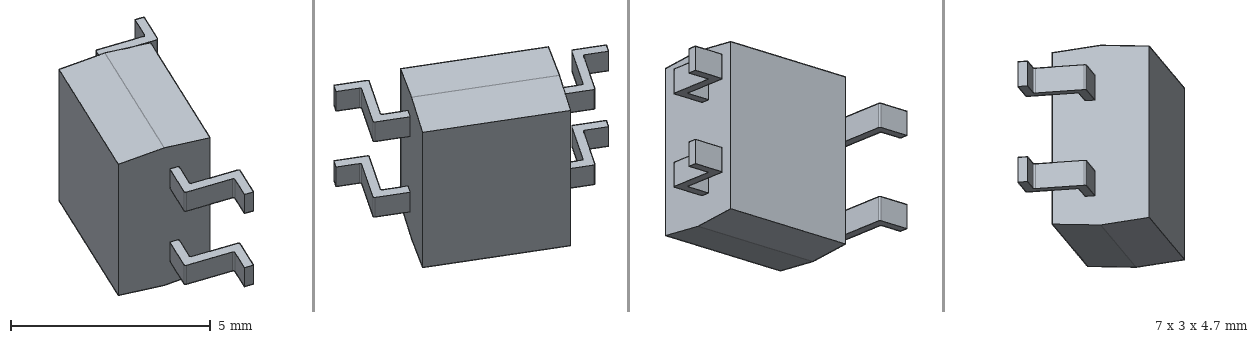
import cadquery as cq
import math

BODY_WIDTH = 3.8
BODY_DEPTH = 2.5
BODY_HEIGHT = 4.7
DRAFT_ANGLE = 5.0

LEAD_SPAN = 7.0
LEAD_WIDTH = 0.65
LEAD_PITCH = 2.5
LEAD_THICKNESS = 0.25
FOOT_LENGTH = 0.9
FOOT_STANDOFF = 0.5
LEAD_DEPTH = 1.6
BEND_RADIUS = 0.045

BODY_BACK = BODY_DEPTH / 2
SEATING_PLANE = BODY_BACK + FOOT_STANDOFF


def make_body():
    """Hexagonal profile in the YZ plane, extruded across X."""
    peak = BODY_HEIGHT / 2
    shoulder = peak - BODY_BACK * math.tan(math.radians(DRAFT_ANGLE))
    profile = [
        (-BODY_BACK, -shoulder),
        (0, -peak),
        (BODY_BACK, -shoulder),
        (BODY_BACK, shoulder),
        (0, peak),
        (-BODY_BACK, shoulder),
    ]
    return cq.Workplane("YZ").polyline(profile).close().extrude(BODY_WIDTH / 2, both=True)


def make_lead(z_center):
    """Z-bent strip on the +X side, starting at the body's side face."""
    root = BODY_WIDTH / 2
    tip = LEAD_SPAN / 2
    upright_inner = tip - FOOT_LENGTH
    upright_outer = upright_inner + LEAD_THICKNESS
    arm_front = SEATING_PLANE - LEAD_DEPTH
    arm_back = arm_front + LEAD_THICKNESS
    foot_front = SEATING_PLANE - LEAD_THICKNESS
    profile = [
        (root, arm_front),
        (upright_outer, arm_front),
        (upright_outer, foot_front),
        (tip, foot_front),
        (tip, SEATING_PLANE),
        (upright_inner, SEATING_PLANE),
        (upright_inner, arm_back),
        (root, arm_back),
    ]
    strip = (
        cq.Workplane("XY")
        .workplane(offset=z_center - LEAD_WIDTH / 2)
        .polyline(profile)
        .close()
        .extrude(LEAD_WIDTH)
    )
    bends = cq.selectors.BoxSelector(
        (upright_inner - BEND_RADIUS, arm_front - BEND_RADIUS, z_center - LEAD_WIDTH),
        (upright_outer + BEND_RADIUS, SEATING_PLANE + BEND_RADIUS, z_center + LEAD_WIDTH),
    )
    return strip.edges("|Z").edges(bends).fillet(BEND_RADIUS)


result = make_body()
for z_center in (-LEAD_PITCH / 2, LEAD_PITCH / 2):
    lead = make_lead(z_center)
    result = result.union(lead).union(lead.mirror("YZ"))